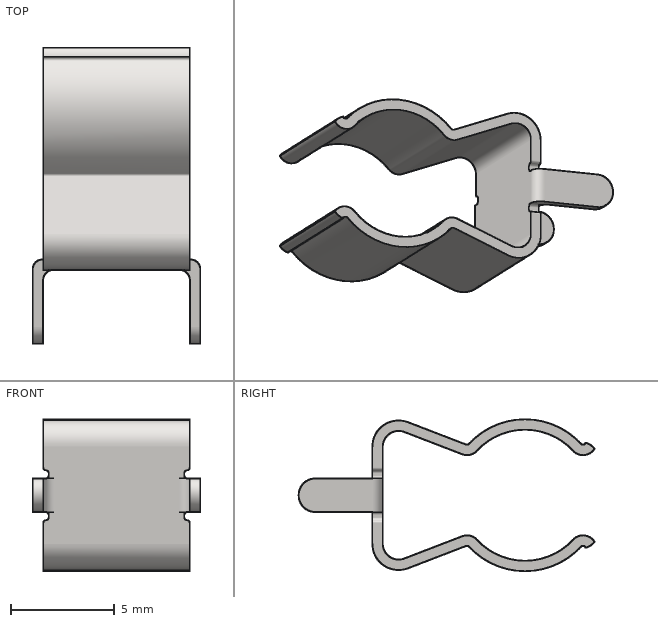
import cadquery as cq
import math

length = 14.35
overall_width = 8.14
sheet = 0.52
body_width = overall_width - 2 * sheet

jaw_outer_radius = 3.69
jaw_center_y = 7.4

small_bend_inner = 0.13
small_bend_outer = small_bend_inner + sheet
small_bend_z = 2.58
jaw_to_small_bend = math.sqrt((jaw_outer_radius + small_bend_inner) ** 2 - small_bend_z**2)
waist_center = (jaw_center_y - jaw_to_small_bend, small_bend_z)
lip_center = (jaw_center_y + jaw_to_small_bend, small_bend_z)
lip_inner_end_angle = -15.0
lip_tip_angle = -30.0
lip_end_bulge = 0.05

corner_outer = 1.28
corner_inner = corner_outer - sheet
corner_center = (corner_outer, 2.35)

tab_width = 1.64
tab_bend_radius = 0.49

notch_width = 0.39
notch_depth = 0.26
notch_radius = notch_depth / 2


def polar(center, radius, angle):
    """Point in the YZ plane, with the angle in degrees from +Y toward +Z."""
    turn = math.radians(angle)
    return (center[0] + radius * math.cos(turn), center[1] + radius * math.sin(turn))


def bend_arc(profile, center, radius, start, end):
    """Continue a profile from the start angle of a bend to its end angle."""
    return profile.threePointArc(polar(center, radius, (start + end) / 2), polar(center, radius, end))


def tangent_normal_angle():
    """Direction of the arm's outward normal, square to the line tangent to corner and waist bends."""
    dy = waist_center[0] - corner_center[0]
    dz = waist_center[1] - corner_center[1]
    reach = corner_outer + small_bend_inner
    return math.degrees(math.atan2(dz, dy) + math.acos(reach / math.hypot(dy, dz)))


def make_upper_half():
    """Half of the bent strip above Z = 0."""
    jaw_center = (jaw_center_y, 0)
    jaw_inner_radius = jaw_outer_radius - sheet
    jaw_end = math.degrees(math.asin(small_bend_z / (jaw_outer_radius + small_bend_inner)))
    arm = tangent_normal_angle()
    lip_inner_end = polar(lip_center, small_bend_inner, lip_inner_end_angle)
    lip_tip = polar(lip_center, small_bend_outer, lip_tip_angle)
    end_dy = lip_tip[0] - lip_inner_end[0]
    end_dz = lip_tip[1] - lip_inner_end[1]
    end_length = math.hypot(end_dy, end_dz)
    lip_end_middle = (
        (lip_inner_end[0] + lip_tip[0]) / 2 - lip_end_bulge * end_dz / end_length,
        (lip_inner_end[1] + lip_tip[1]) / 2 + lip_end_bulge * end_dy / end_length,
    )

    profile = cq.Workplane("YZ").moveTo(0, 0).lineTo(0, corner_center[1])
    profile = bend_arc(profile, corner_center, corner_outer, 180, arm)
    profile = profile.lineTo(*polar(waist_center, small_bend_inner, arm + 180))
    profile = bend_arc(profile, waist_center, small_bend_inner, arm + 180, 360 - jaw_end)
    profile = bend_arc(profile, jaw_center, jaw_outer_radius, 180 - jaw_end, jaw_end)
    profile = bend_arc(profile, lip_center, small_bend_inner, 180 + jaw_end, 360 + lip_inner_end_angle)

    profile = profile.threePointArc(lip_end_middle, lip_tip)

    profile = bend_arc(profile, lip_center, small_bend_outer, 360 + lip_tip_angle, 180 + jaw_end)
    profile = bend_arc(profile, jaw_center, jaw_inner_radius, jaw_end, 180 - jaw_end)
    profile = bend_arc(profile, waist_center, small_bend_outer, 360 - jaw_end, arm + 180)
    profile = profile.lineTo(*polar(corner_center, corner_inner, arm))
    profile = bend_arc(profile, corner_center, corner_inner, arm, 180)
    profile = profile.lineTo(sheet, 0).close()
    return profile.extrude(body_width / 2, both=True)


def make_notch():
    """Relief cutter above the tab at the +X edge, flared where it meets the edge."""
    edge = body_width / 2
    floor = edge - notch_depth
    low = tab_width / 2
    high = low + notch_width
    r = notch_radius
    diagonal = r * math.sqrt(0.5)
    return (
        cq.Workplane("XZ")
        .moveTo(edge, low)
        .lineTo(floor + r, low)
        .threePointArc((floor + r - diagonal, low + r - diagonal), (floor, low + r))
        .lineTo(floor, high - r)
        .threePointArc((floor + r - diagonal, high - r + diagonal), (floor + r, high))
        .threePointArc((edge - r + diagonal, high + r - diagonal), (edge, high + r))
        .close()
        .extrude(-sheet)
    )


def make_tab():
    """Tab bent from the base wall at the +X edge, with a full-round end."""
    inside = body_width / 2
    outside = overall_width / 2
    root = inside - tab_bend_radius
    tip_y = polar(lip_center, small_bend_outer, lip_tip_angle)[0] - length
    r = tab_bend_radius
    diagonal = r * math.sqrt(0.5)
    bent_strip = (
        cq.Workplane("XY")
        .moveTo(root, 0)
        .threePointArc((root + diagonal, -r + diagonal), (inside, -r))
        .lineTo(inside, tip_y)
        .lineTo(outside, tip_y)
        .lineTo(outside, sheet - r)
        .threePointArc((outside - r + diagonal, sheet - r + diagonal), (outside - r, sheet))
        .lineTo(root, sheet)
        .close()
        .extrude(tab_width / 2, both=True)
    )
    end_radius = tab_width / 2
    round_center_y = tip_y + end_radius
    side_shape = (
        cq.Workplane("YZ")
        .moveTo(sheet, -end_radius)
        .lineTo(round_center_y, -end_radius)
        .threePointArc((tip_y, 0), (round_center_y, end_radius))
        .lineTo(sheet, end_radius)
        .close()
        .extrude(overall_width)
    )
    return bent_strip.intersect(side_shape)


upper_half = make_upper_half()
result = upper_half.union(upper_half.mirror("XY"))

upper_notch = make_notch()
for notch in (upper_notch, upper_notch.mirror("XY")):
    result = result.cut(notch).cut(notch.mirror("YZ"))

tab = make_tab()
result = result.union(tab).union(tab.mirror("YZ")).clean()